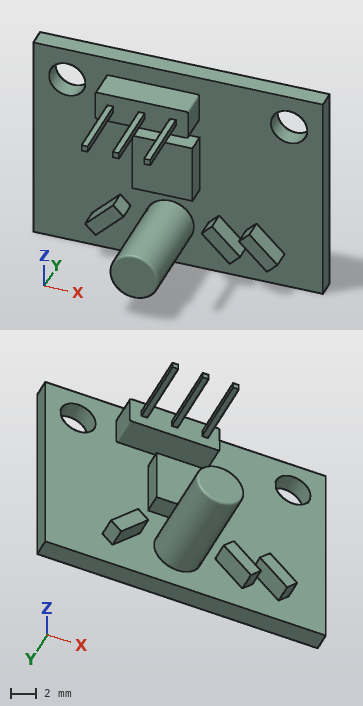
import cadquery as cq

board_width = 24
board_height = 18
board_thickness = 1.5
overall_depth = 9.75

upper_row_z = 6.17
hole_diameter = 3.0
hole_spacing = 18.38

header_x = -2.1
header_width = 7.7
header_height = 2.5
header_depth = 2.5
header_corner_radius = 0.2

pin_count = 3
pin_pitch = 2.6
pin_side = 0.5
pin_length = overall_depth - board_thickness

chip_x = -0.72
chip_z = 0.86
chip_side = 5.0
small_part_depth = 1.58

lower_row_z = -5.25
cylinder_x = -0.7
cylinder_diameter = 4.0
cylinder_length = 8.0
cylinder_edge_radius = 0.2

block_length = 3.3
block_width = 1.22
block_tilt = 45
block_layout = [(-5.52, 1), (4.13, -1), (7.22, -1)]


def board_face(x=0, z=0):
    """Workplane on the component side of the board, extruding toward -Y."""
    return cq.Workplane("XZ", origin=(x, 0, z))


def make_board():
    board = board_face().rect(board_width, board_height).extrude(-board_thickness)
    holes = (
        board_face(z=upper_row_z)
        .rarray(hole_spacing, 0.25, 2, 1)
        .circle(hole_diameter / 2)
        .extrude(-board_thickness)
    )
    return board.cut(holes)


def make_header():
    body = (
        board_face(header_x, upper_row_z)
        .rect(header_width, header_height)
        .extrude(header_depth)
        .edges("|Y")
        .fillet(header_corner_radius)
    )
    pins = (
        board_face(header_x, upper_row_z)
        .rarray(pin_pitch, 0.25, pin_count, 1)
        .rect(pin_side, pin_side)
        .extrude(pin_length)
    )
    return body.union(pins)


def make_chip():
    return board_face(chip_x, chip_z).rect(chip_side, chip_side).extrude(small_part_depth)


def make_cylinder():
    return (
        board_face(cylinder_x, lower_row_z)
        .circle(cylinder_diameter / 2)
        .extrude(cylinder_length)
        .faces("<Y")
        .edges()
        .fillet(cylinder_edge_radius)
    )


def make_block(x, tilt_direction):
    return (
        board_face(x, lower_row_z)
        .transformed(rotate=(0, 0, tilt_direction * block_tilt))
        .rect(block_length, block_width)
        .extrude(small_part_depth)
    )


result = make_board().union(make_header()).union(make_chip()).union(make_cylinder())
for block_x, block_direction in block_layout:
    result = result.union(make_block(block_x, block_direction))